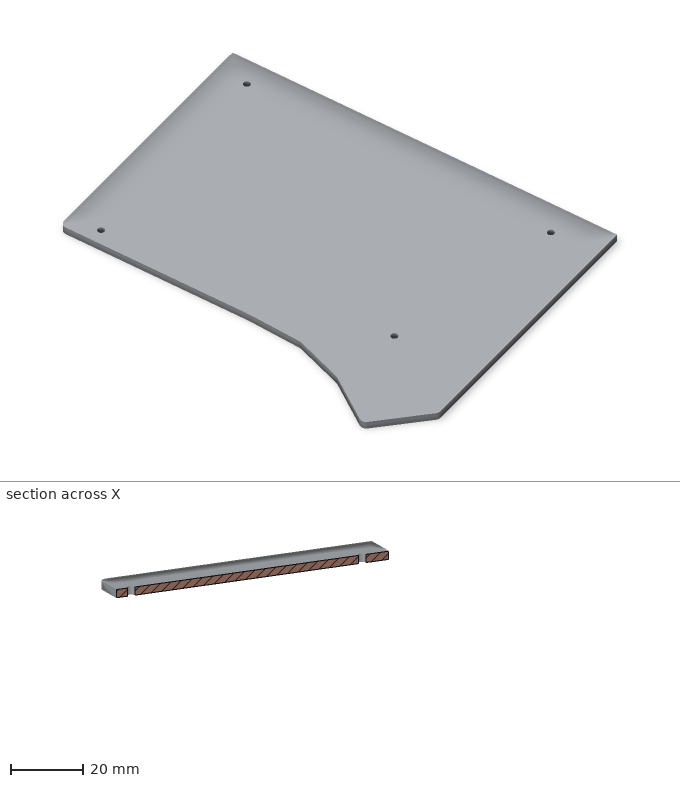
import cadquery as cq
import math

plate_width = 129.55
total_depth = 102.03
thickness = 2.5
main_depth = 84.4
wing_depth = total_depth - main_depth

slope_start_x = 63.7
first_bend_x = 81.7
second_bend_x = 98.1
first_slope = math.radians(3.2)
second_slope = math.radians(20)
third_slope = math.radians(35)
wing_slope = math.radians(45)

corner_radius = 2.0
bend_radius = 2.1

hole_diameter = 2.2
hole_centers = [
    (10.5, 76.2),
    (113.9, 74.7),
    (101.8, 15.7),
    (10.6, 4.7),
]


def front_edge_points():
    """Sharp corners of the front edge, from the left corner to the right wall."""
    first_bend_y = -(first_bend_x - slope_start_x) * math.tan(first_slope)
    second_bend_y = first_bend_y - (second_bend_x - first_bend_x) * math.tan(second_slope)

    half_tip_angle = (math.pi - third_slope - wing_slope) / 2
    tip_lean = (wing_slope - third_slope) / 2
    rounding_loss = corner_radius * (math.cos(tip_lean) / math.sin(half_tip_angle) - 1)
    tip_y = -wing_depth - rounding_loss
    tip_x = second_bend_x + (second_bend_y - tip_y) / math.tan(third_slope)
    wing_end_y = tip_y + (plate_width - tip_x) * math.tan(wing_slope)

    return [
        (0, 0),
        (slope_start_x, 0),
        (first_bend_x, first_bend_y),
        (second_bend_x, second_bend_y),
        (tip_x, tip_y),
        (plate_width, wing_end_y),
    ]


def vertical_edge_at(point):
    """Selector for the vertical plate edge standing on an outline corner."""
    x, y = point
    return cq.selectors.NearestToPointSelector((x, y, thickness / 2))


def make_plate():
    front_edge = front_edge_points()
    left_corner, _, first_bend, _, tip, wing_end = front_edge
    outline = front_edge + [(plate_width, main_depth), (0, main_depth)]
    plate = cq.Workplane("XY").polyline(outline).close().extrude(thickness)
    for corner in (left_corner, tip, wing_end):
        plate = plate.edges("|Z").edges(vertical_edge_at(corner)).fillet(corner_radius)
    return plate.edges("|Z").edges(vertical_edge_at(first_bend)).fillet(bend_radius)


def make_screw_holes():
    return cq.Workplane("XY").pushPoints(hole_centers).circle(hole_diameter / 2).extrude(thickness)


result = make_plate().cut(make_screw_holes())